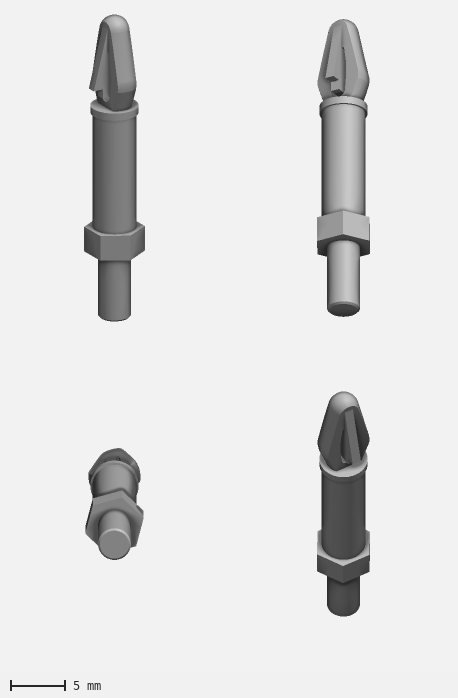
import cadquery as cq
import math

nut_bottom = 6.38
nut_top = 8.8
collar_bottom = 19.95
collar_top = 20.65
total_height = 29.4

stud_diameter = 3.0
stud_chamfer = 0.18
nut_corner_diameter = 5.53
post_diameter = 4.0
collar_diameter = 4.4

head_thickness = 2.0
head_base_radius = 1.65
head_max_radius = 2.38
head_shoulder_radius = 2.32
shoulder_bottom = 22.7
shoulder_top = 23.7
dome_base_radius = 1.38
dome_bottom = 28.25

slot_top = 26.13
slot_top_half_width = 0.65
slot_widest = 23.6
slot_max_half_width = 0.88
slot_end_radius = 0.75
slot_end_center = 21.95

latch_width = 0.85
latch_top = 28.45
latch_step = 22.63
latch_bottom = 21.72
latch_tip_reach = 2.5
latch_foot_reach = 1.53


def cylinder(diameter, bottom, top):
    return cq.Workplane("XY").workplane(offset=bottom).circle(diameter / 2).extrude(top - bottom)


def make_standoff():
    stud = cylinder(stud_diameter, 0, nut_bottom).faces("<Z").chamfer(stud_chamfer)
    nut = (
        cq.Workplane("XY")
        .workplane(offset=nut_bottom)
        .polygon(6, nut_corner_diameter)
        .extrude(nut_top - nut_bottom)
    )
    post = cylinder(post_diameter, nut_top, collar_bottom)
    collar = cylinder(collar_diameter, collar_bottom, collar_top)
    return stud.union(nut).union(post).union(collar)


def make_head():
    dome_height = total_height - dome_bottom
    dome_radius = (dome_base_radius**2 + dome_height**2) / (2 * dome_height)
    dome_center = total_height - dome_radius
    dome_mid = dome_bottom + dome_height / 2
    dome_mid_radius = math.sqrt(dome_radius**2 - (dome_mid - dome_center) ** 2)
    bulb = (
        cq.Workplane("XZ")
        .moveTo(0, collar_top)
        .lineTo(head_base_radius, collar_top)
        .lineTo(head_shoulder_radius, shoulder_bottom)
        .threePointArc(
            (head_max_radius, (shoulder_bottom + shoulder_top) / 2),
            (head_shoulder_radius, shoulder_top),
        )
        .lineTo(dome_base_radius, dome_bottom)
        .threePointArc((dome_mid_radius, dome_mid), (0, total_height))
        .close()
        .revolve(360, (0, 0, 0), (0, 1, 0))
    )
    slab = (
        cq.Workplane("XY")
        .workplane(offset=collar_top)
        .rect(2 * head_max_radius, head_thickness)
        .extrude(total_height - collar_top)
    )
    return bulb.intersect(slab)


def make_slot():
    return (
        cq.Workplane("XZ")
        .moveTo(-slot_top_half_width, slot_top)
        .lineTo(slot_top_half_width, slot_top)
        .threePointArc((slot_max_half_width, slot_widest), (slot_end_radius, slot_end_center))
        .threePointArc((0, slot_end_center - slot_end_radius), (-slot_end_radius, slot_end_center))
        .threePointArc((-slot_max_half_width, slot_widest), (-slot_top_half_width, slot_top))
        .close()
        .extrude(head_thickness / 2, both=True)
    )


def make_latch():
    head_face = head_thickness / 2
    return (
        cq.Workplane("YZ")
        .moveTo(head_face, latch_bottom)
        .lineTo(head_face, slot_top)
        .lineTo(-head_face, latch_top)
        .lineTo(-latch_tip_reach, latch_step)
        .lineTo(-latch_foot_reach, latch_step)
        .lineTo(-latch_foot_reach, latch_bottom)
        .close()
        .extrude(latch_width / 2, both=True)
    )


head = make_head().cut(make_slot()).union(make_latch())
result = make_standoff().union(head)